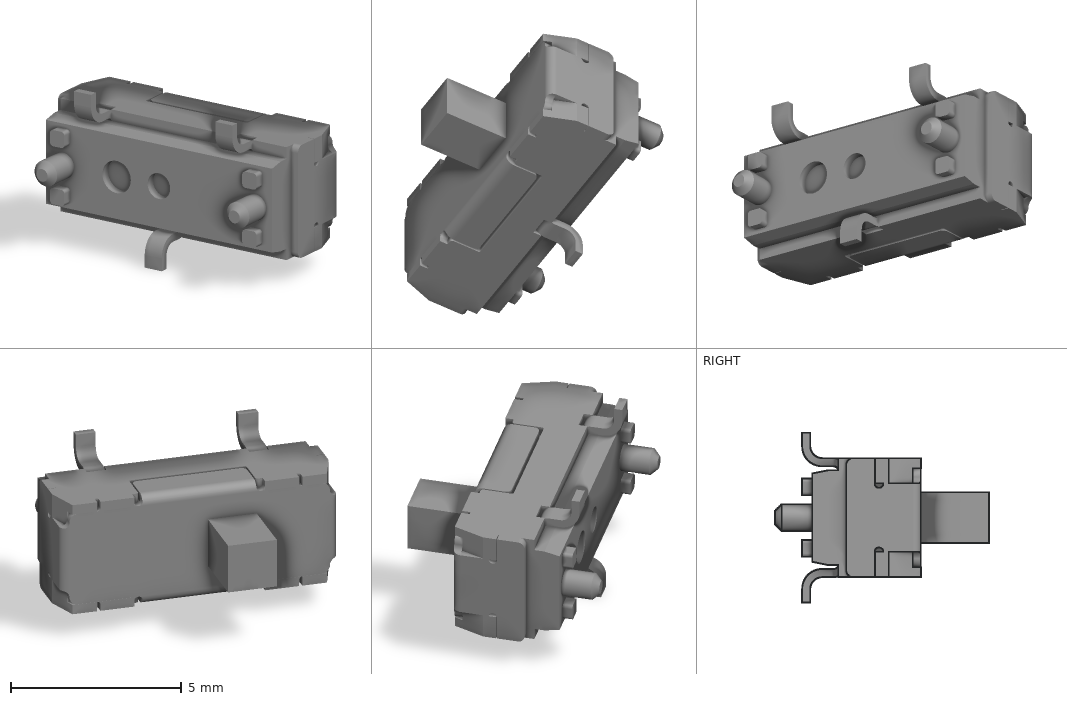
import cadquery as cq
import math


LENGTH = 8.5
HEIGHT = 3.5
SHEET = 0.25
BACK_Y = 3.2
PLATES_BACK_Y = 3.205
FRONT_Y = 0.765
END_FRONT_Y = 1.0
END_CORNER_RADIUS = 0.2
HALF_LENGTH = LENGTH / 2
HALF_HEIGHT = HEIGHT / 2
CORE_HALF_LENGTH = HALF_LENGTH - SHEET
CORE_BACK_Y = BACK_Y - SHEET

CORNER_RUN = 0.34
CORNER_Y = 2.25

PLATE_HALF_HEIGHT = 1.45
PLATE_CORNER_RADIUS = 0.255
END_FOLD_HALF_HEIGHT = 1.0
END_WEB_RADIUS = PLATE_HALF_HEIGHT - PLATE_CORNER_RADIUS - END_FOLD_HALF_HEIGHT
FLAP_HALF_LENGTH = 1.75
FLAP_RELIEF_RADIUS = 0.13
FLAP_FRONT_Y = 2.07
FLAP_CORNER_RADIUS = 0.17
FLAP_BEND_RADIUS = 0.3

FLAP_SIDE_GAP = 0.05
CUTOUT_FRONT_Y = 1.97
CUTOUT_CORNER_RADIUS = 0.06
CUTOUT_MOUTH_RADIUS = 0.085

NOTCH_X = 3.1
NOTCH_WIDTH = 0.1
NOTCH_FLOOR_RADIUS = 0.09

SLIT_Y = 1.84
SLIT_WIDTH = 0.025
RELIEF_RADIUS = 0.13

BASE_HALF_HEIGHT = 1.39
MOUNT_HALF_HEIGHT = 1.3
TAPER_Y = 0.46

PIN_X = 3.4
PIN_DIAMETER = 0.8
PIN_LENGTH = 1.1
PIN_CHAMFER = 0.2
FOOT_Z = 0.9
FOOT_SIZE = 0.5
FOOT_HEIGHT = 0.3
FOOT_RADIUS = 0.1
HOLE_DEPTH = 0.3
HOLES = [(-1.5, 1.0), (0.0, 0.8)]

TERMINAL_WIDTH = 0.6
TERMINAL_TIP_Z = 2.5
ROOT_BEND_RADIUS = 0.15
TIP_BEND_RADIUS = 0.35
ROOT_Y = 1.03
UPPER_TERMINALS_X = [-2.5, 2.5]
LOWER_TERMINAL_X = 0.0

KNOB_X = -1.0
KNOB_WIDTH = 1.5
KNOB_HEIGHT = 1.5
KNOB_END_Y = 5.2


def block(x_range, y_range, z_range):
    """Box between the given limits."""
    size = [high - low for low, high in (x_range, y_range, z_range)]
    corner = (x_range[0], y_range[0], z_range[0])
    return cq.Workplane("XY").box(*size, centered=False).translate(corner)


def centred_block(half_length, y_range, half_height):
    """Box centred on X = 0 and Z = 0."""
    return block((-half_length, half_length), y_range, (-half_height, half_height))


def mirrored_in_z(shape):
    """Shape together with its mirror image below Z = 0."""
    return shape.union(shape.mirror("XY"))


def arc_middle(centre, radius, degrees):
    """Point on a circle, used as the middle of an arc."""
    angle = math.radians(degrees)
    return (centre[0] + radius * math.cos(angle), centre[1] + radius * math.sin(angle))


def make_end_walls():
    """Full-length block whose ends are the end walls, front corners rounded."""
    walls = centred_block(HALF_LENGTH, (END_FRONT_Y, CORNER_Y), HALF_HEIGHT)
    walls = walls.edges("|X and <Y").fillet(END_CORNER_RADIUS)
    folds = centred_block(HALF_LENGTH, (CORNER_Y, BACK_Y), END_FOLD_HALF_HEIGHT)
    return walls.union(folds.edges("|Z and >Y").fillet(SHEET))


def make_plates():
    """Core with the top and bottom plates, sloped at the back corners."""
    front = centred_block(CORE_HALF_LENGTH, (FRONT_Y, CORNER_Y), HALF_HEIGHT)
    back_half_length = HALF_LENGTH - CORNER_RUN
    back = (
        cq.Workplane("XY", origin=(0, 0, -HALF_HEIGHT))
        .moveTo(-HALF_LENGTH, CORNER_Y)
        .lineTo(HALF_LENGTH, CORNER_Y)
        .lineTo(back_half_length, PLATES_BACK_Y)
        .lineTo(-back_half_length, PLATES_BACK_Y)
        .close()
        .extrude(HEIGHT)
    )
    behind_plates = centred_block(HALF_LENGTH, (CORE_BACK_Y, PLATES_BACK_Y), PLATE_HALF_HEIGHT)
    return front.union(back).cut(behind_plates)


def make_flap_cutout():
    """Space around the flap in the top plate, wider where the flap is bent."""
    z_range = (PLATE_HALF_HEIGHT, HALF_HEIGHT)
    half_length = FLAP_HALF_LENGTH + FLAP_SIDE_GAP
    mouth_half_length = FLAP_HALF_LENGTH + 2 * FLAP_RELIEF_RADIUS
    slot = block((-half_length, half_length), (CUTOUT_FRONT_Y, CORE_BACK_Y), z_range)
    slot = slot.edges("|Z and <Y").fillet(CUTOUT_CORNER_RADIUS)
    mouth = block((-mouth_half_length, mouth_half_length), (CORE_BACK_Y, PLATES_BACK_Y), z_range)
    inner_corners = cq.selectors.BoxSelector(
        (-mouth_half_length + FLAP_RELIEF_RADIUS, CUTOUT_FRONT_Y + SHEET, 0),
        (mouth_half_length - FLAP_RELIEF_RADIUS, BACK_Y, HEIGHT),
    )
    return slot.union(mouth).edges("|Z").edges(inner_corners).fillet(CUTOUT_MOUTH_RADIUS)


def make_notches():
    """Narrow notches in the back edge of the top plate, floors rounded on the inner side."""
    x_range = (NOTCH_X - NOTCH_WIDTH / 2, NOTCH_X + NOTCH_WIDTH / 2)
    notch = block(x_range, (CORE_BACK_Y, PLATES_BACK_Y), (PLATE_HALF_HEIGHT, HALF_HEIGHT))
    notch = notch.faces("<X").edges("<Z").fillet(NOTCH_FLOOR_RADIUS)
    return notch.union(notch.mirror("YZ"))


def make_slits():
    """Slits through both end walls above the fold, each ending in a half-round relief."""
    slits = cq.Workplane("XY")
    for x in (-HALF_LENGTH, CORE_HALF_LENGTH):
        x_range = (x, x + SHEET)
        slit = block(x_range, (SLIT_Y, SLIT_Y + SLIT_WIDTH), (END_FOLD_HALF_HEIGHT, HALF_HEIGHT))
        relief = (
            cq.Workplane("YZ", origin=(x, SLIT_Y, END_FOLD_HALF_HEIGHT))
            .lineTo(2 * RELIEF_RADIUS, 0)
            .threePointArc((RELIEF_RADIUS, -RELIEF_RADIUS), (0, 0))
            .close()
            .extrude(SHEET)
        )
        slits = slits.union(slit).union(relief)
    return slits


def make_back_plate():
    """Cross-shaped back plate with its bent-over edges and flaps."""
    shoulder_x = CORE_HALF_LENGTH - PLATE_CORNER_RADIUS
    shoulder_z = PLATE_HALF_HEIGHT - PLATE_CORNER_RADIUS
    end_web_x = CORE_HALF_LENGTH + END_WEB_RADIUS
    relief_end_x = FLAP_HALF_LENGTH + 2 * FLAP_RELIEF_RADIUS
    relief_z = PLATE_HALF_HEIGHT + FLAP_RELIEF_RADIUS
    relief_bottom = (FLAP_HALF_LENGTH + FLAP_RELIEF_RADIUS, PLATE_HALF_HEIGHT)
    end_web_middle = arc_middle((end_web_x, shoulder_z), END_WEB_RADIUS, 225)
    shoulder_middle = arc_middle((shoulder_x, shoulder_z), PLATE_CORNER_RADIUS, 45)
    quarter = (
        cq.Workplane("XZ", origin=(0, BACK_Y, 0))
        .lineTo(HALF_LENGTH, 0)
        .lineTo(HALF_LENGTH, END_FOLD_HALF_HEIGHT)
        .lineTo(end_web_x, END_FOLD_HALF_HEIGHT)
        .threePointArc(end_web_middle, (CORE_HALF_LENGTH, shoulder_z))
        .threePointArc(shoulder_middle, (shoulder_x, PLATE_HALF_HEIGHT))
        .lineTo(relief_end_x, PLATE_HALF_HEIGHT)
        .lineTo(relief_end_x, relief_z)
        .threePointArc(relief_bottom, (FLAP_HALF_LENGTH, relief_z))
        .lineTo(FLAP_HALF_LENGTH, HALF_HEIGHT)
        .lineTo(0, HALF_HEIGHT)
        .close()
        .extrude(SHEET)
    )
    upper = quarter.union(quarter.mirror("YZ"))
    flap = block(
        (-FLAP_HALF_LENGTH, FLAP_HALF_LENGTH),
        (FLAP_FRONT_Y, BACK_Y),
        (PLATE_HALF_HEIGHT, HALF_HEIGHT),
    )
    flap = flap.edges("|Z and <Y").fillet(FLAP_CORNER_RADIUS)
    plate = mirrored_in_z(upper.union(flap))
    envelope = centred_block(HALF_LENGTH, (0, BACK_Y), HALF_HEIGHT)
    end_bends = envelope.edges("|Z and >Y").fillet(SHEET)
    flap_bends = envelope.edges("|X and >Y").fillet(FLAP_BEND_RADIUS)
    return plate.intersect(end_bends).intersect(flap_bends)


def make_cover():
    """Complete shell."""
    openings = make_flap_cutout().union(make_notches()).union(make_slits())
    shell = make_end_walls().union(make_plates()).cut(mirrored_in_z(openings))
    return shell.union(make_back_plate())


def make_base():
    """Tapered base with its pins, feet and blind holes."""
    base = (
        cq.Workplane("YZ", origin=(-CORE_HALF_LENGTH, 0, 0))
        .moveTo(0, -MOUNT_HALF_HEIGHT)
        .lineTo(TAPER_Y, -BASE_HALF_HEIGHT)
        .lineTo(FRONT_Y, -BASE_HALF_HEIGHT)
        .lineTo(FRONT_Y, BASE_HALF_HEIGHT)
        .lineTo(TAPER_Y, BASE_HALF_HEIGHT)
        .lineTo(0, MOUNT_HALF_HEIGHT)
        .close()
        .extrude(2 * CORE_HALF_LENGTH)
    )
    face = cq.Workplane("XZ")
    pins = face.pushPoints([(-PIN_X, 0), (PIN_X, 0)]).circle(PIN_DIAMETER / 2).extrude(PIN_LENGTH)
    feet = face.rect(2 * PIN_X, 2 * FOOT_Z, forConstruction=True).vertices()
    feet = feet.rect(FOOT_SIZE, FOOT_SIZE).extrude(FOOT_HEIGHT).edges("|Y").fillet(FOOT_RADIUS)
    base = base.union(pins.faces("<Y").chamfer(PIN_CHAMFER)).union(feet)
    for x, diameter in HOLES:
        base = base.cut(face.center(x, 0).circle(diameter / 2).extrude(-HOLE_DEPTH))
    return base


def make_terminal(x):
    """Upper terminal: out of the cover, forward along it, then up to the tip."""
    root_outer = ROOT_BEND_RADIUS + SHEET
    tip_outer = TIP_BEND_RADIUS + SHEET
    under_z = HALF_HEIGHT - SHEET
    root_centre = (ROOT_Y - root_outer, HALF_HEIGHT - root_outer)
    tip_centre = (tip_outer - FOOT_HEIGHT, HALF_HEIGHT + TIP_BEND_RADIUS)
    return (
        cq.Workplane("YZ", origin=(x - TERMINAL_WIDTH / 2, 0, 0))
        .moveTo(ROOT_Y, root_centre[1])
        .threePointArc(arc_middle(root_centre, root_outer, 45), (root_centre[0], HALF_HEIGHT))
        .lineTo(tip_centre[0], HALF_HEIGHT)
        .threePointArc(
            arc_middle(tip_centre, TIP_BEND_RADIUS, 225),
            (tip_centre[0] - TIP_BEND_RADIUS, tip_centre[1]),
        )
        .lineTo(SHEET - FOOT_HEIGHT, TERMINAL_TIP_Z)
        .lineTo(-FOOT_HEIGHT, TERMINAL_TIP_Z)
        .lineTo(-FOOT_HEIGHT, tip_centre[1])
        .threePointArc(arc_middle(tip_centre, tip_outer, 225), (tip_centre[0], under_z))
        .lineTo(root_centre[0], under_z)
        .threePointArc(
            arc_middle(root_centre, ROOT_BEND_RADIUS, 45),
            (root_centre[0] + ROOT_BEND_RADIUS, root_centre[1]),
        )
        .close()
        .extrude(TERMINAL_WIDTH)
    )


def make_terminal_slot(x):
    """Opening in the front edge of the top plate where an upper terminal comes out."""
    x_range = (x - TERMINAL_WIDTH / 2, x + TERMINAL_WIDTH / 2)
    bottom_z = HALF_HEIGHT - SHEET - ROOT_BEND_RADIUS
    return block(x_range, (FRONT_Y, ROOT_Y), (bottom_z, HALF_HEIGHT))


def make_housing():
    """Cover, base and terminals as one body."""
    body = make_cover().union(make_base())
    for x in UPPER_TERMINALS_X:
        body = body.cut(make_terminal_slot(x)).union(make_terminal(x))
    lower_slot = make_terminal_slot(LOWER_TERMINAL_X).mirror("XY")
    return body.cut(lower_slot).union(make_terminal(LOWER_TERMINAL_X).mirror("XY"))


def make_knob():
    """Rectangular slide knob standing on the back plate."""
    return block(
        (KNOB_X - KNOB_WIDTH / 2, KNOB_X + KNOB_WIDTH / 2),
        (BACK_Y, KNOB_END_Y),
        (-KNOB_HEIGHT / 2, KNOB_HEIGHT / 2),
    )


housing = make_housing()
knob = make_knob()
result = cq.Compound.makeCompound([housing.solids().val(), knob.solids().val()])